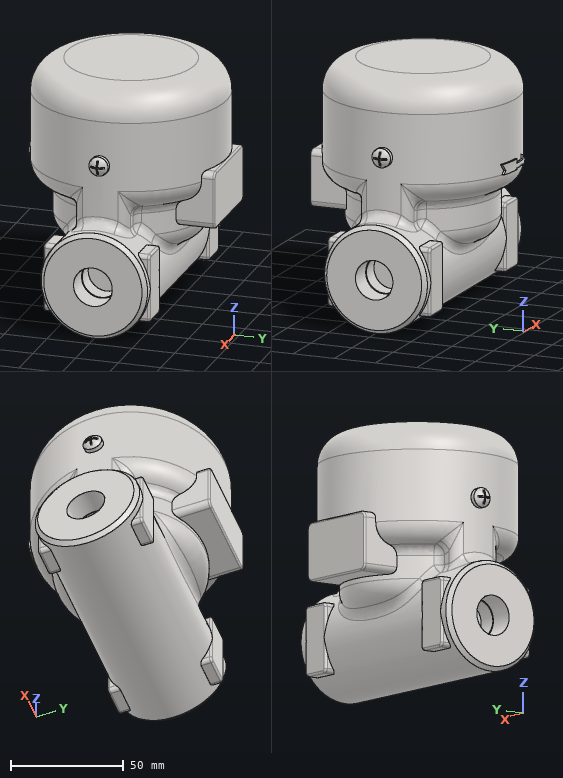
import cadquery as cq
import math

pipe_length = 110.0
pipe_diameter = 50.0
pipe_radius = pipe_diameter / 2
pipe_chamfer = 2.0
bore_diameter = 17.5
bore_depth = 20.0
socket_diameter = 18.2
socket_depth = 11.5

total_height = 115.0
cover_diameter = 90.0
cover_radius = cover_diameter / 2
cover_top_round = 15.0
cover_seat_z = 74.3
rim_bottom_z = 67.7
bowl_round = 10.0
bowl_radius = cover_radius - bowl_round
bowl_wall_bottom_z = 43.2

rib_width = 25.0
rib_edge_round = 5.1
joint_fillet = 4.8

flat_length = 15.1
flat_height = 32.0
flat_center_x = 42.5
flat_corner_round = 2.0
flat_face_round = 1.0

boss_width = 42.1
boss_bottom_z = 45.5
boss_top_z = 72.5
boss_face_y = 46.0
boss_root_y = 23.0
boss_corner_round = 3.0
boss_face_round = 0.8

arrow_radius = 46.0
arrow_center_z = 69.5
arrow_tail_x = -12.9
arrow_notch_x = -10.6
arrow_shaft_start_x = -0.6
arrow_head_x = 7.2
arrow_tip_x = 12.8
arrow_half_height = 3.2
arrow_shaft_half_height = 1.2

screw_diameter = 9.0
screw_z = 79.5
screw_root_x = 43.7
screw_dome_start_x = 47.0
screw_tip_x = 49.3
cross_length = 6.7
cross_width = 0.7
cross_depth = 1.0

tolerance = 0.001


def make_bowl():
    """Bowl with a rounded bottom edge, flaring out through a rounded rim to the cover width."""
    diagonal = bowl_round * math.sqrt(0.5)
    floor_radius = bowl_radius - bowl_round
    return (
        cq.Workplane("XZ")
        .moveTo(0, bowl_wall_bottom_z - bowl_round)
        .lineTo(floor_radius, bowl_wall_bottom_z - bowl_round)
        .threePointArc(
            (floor_radius + diagonal, bowl_wall_bottom_z - diagonal),
            (bowl_radius, bowl_wall_bottom_z),
        )
        .lineTo(bowl_radius, rim_bottom_z - bowl_round)
        .threePointArc(
            (bowl_radius + diagonal, rim_bottom_z - diagonal),
            (cover_radius, rim_bottom_z),
        )
        .lineTo(0, rim_bottom_z)
        .close()
        .revolve(360, (0, 0, 0), (0, 1, 0))
    )


def make_ribs():
    """Both ribs as one bar across the bowl, with ends that follow the cover cylinder."""
    rib_height = rim_bottom_z - pipe_radius
    start = cq.Workplane("XY", origin=(0, 0, pipe_radius))
    bar = start.rect(pipe_length, rib_width).extrude(rib_height)
    return bar.intersect(start.circle(cover_radius).extrude(rib_height)).edges("|Z").fillet(rib_edge_round)


def make_pipe():
    """Solid round bar with chamfered ends."""
    return (
        cq.Workplane("YZ", origin=(-pipe_length / 2, 0, pipe_radius))
        .circle(pipe_radius)
        .extrude(pipe_length)
        .faces("<X or >X")
        .chamfer(pipe_chamfer)
    )


def lies_on(point, shape):
    """True if the point is on the surface of the shape."""
    return shape.val().Shells()[0].distance(cq.Vertex.makeVertex(*point.toTuple())) < tolerance


def join_with_fillets(shapes):
    """Union of the shapes, filleted in the bend under the rim and wherever two shapes meet below it."""
    joined = shapes[0]
    for shape in shapes[1:]:
        joined = joined.union(shape)
    joints = []
    for edge in joined.edges().vals():
        middle = edge.positionAt(0.5)
        below_rim = edge.BoundingBox().zmin < rim_bottom_z - joint_fillet / 2
        in_bend = edge.geomType() == "CIRCLE" and abs(middle.z - (rim_bottom_z - bowl_round)) < tolerance
        is_seam = sum(lies_on(middle, shape) for shape in shapes) > 1
        if in_bend or (below_rim and is_seam):
            joints.append(edge)
    return joined.newObject(joints).fillet(joint_fillet)


def make_cover():
    """Cover cylinder with a large top round."""
    return (
        cq.Workplane("XY", origin=(0, 0, cover_seat_z))
        .circle(cover_radius)
        .extrude(total_height - cover_seat_z)
        .faces(">Z")
        .edges()
        .fillet(cover_top_round)
    )


def make_rim(radius):
    """Straight round band between the heights of the bowl top and the cover seat."""
    return cq.Workplane("XY", origin=(0, 0, rim_bottom_z)).circle(radius).extrude(cover_seat_z - rim_bottom_z)


def make_wrench_flats(center_x):
    """Block through the pipe whose two faces touch the pipe sides."""
    return (
        cq.Workplane("XY")
        .box(flat_length, pipe_diameter, flat_height)
        .edges("|Y")
        .fillet(flat_corner_round)
        .faces("<Y or >Y")
        .edges()
        .fillet(flat_face_round)
        .translate((center_x, 0, pipe_radius))
    )


def make_boss():
    """Flat-faced block on the back of the bowl."""
    boss_height = boss_top_z - boss_bottom_z
    return (
        cq.Workplane("XZ", origin=(0, boss_face_y, boss_bottom_z + boss_height / 2))
        .rect(boss_width, boss_height)
        .extrude(boss_face_y - boss_root_y)
        .edges("|Y")
        .fillet(boss_corner_round)
        .faces(">Y")
        .edges()
        .fillet(boss_face_round)
    )


def make_arrow():
    """Flow arrow with a curved face, cut off at the lower end of the straight rim."""
    upper_half = [
        (arrow_tail_x, arrow_half_height),
        (arrow_shaft_start_x, arrow_half_height),
        (arrow_shaft_start_x, arrow_shaft_half_height),
        (arrow_head_x, arrow_shaft_half_height),
        (arrow_head_x, arrow_half_height),
    ]
    lower_half = [(x, -z) for x, z in reversed(upper_half)]
    outline = [(arrow_notch_x, 0)] + upper_half + [(arrow_tip_x, 0)] + lower_half
    plane = cq.Workplane("XZ", origin=(0, 0, arrow_center_z))
    arrow = plane.polyline(outline).close().extrude(cover_diameter)
    bowl_core = cq.Workplane("XY").circle(bowl_radius).extrude(total_height)
    return arrow.intersect(make_rim(arrow_radius)).cut(bowl_core)


def make_bore(turn):
    """Blind bore with a slightly wider socket at its mouth, turned about Z to either pipe end."""
    mouth = cq.Workplane("YZ", origin=(-pipe_length / 2, 0, pipe_radius))
    socket = mouth.circle(socket_diameter / 2).extrude(socket_depth)
    bore = mouth.circle(bore_diameter / 2).extrude(bore_depth)
    return socket.union(bore).rotate((0, 0, 0), (0, 0, 1), turn)


def make_housing():
    """Pipe, ribs, bowl and cover in one casting with its flats, boss, arrow and bores."""
    housing = join_with_fillets([make_bowl(), make_ribs(), make_pipe()])
    housing = housing.union(make_rim(cover_radius)).union(make_cover())
    housing = housing.union(make_boss()).union(make_arrow())
    for side in (-1, 1):
        housing = housing.union(make_wrench_flats(side * flat_center_x))
    for turn in (0, 180):
        housing = housing.cut(make_bore(turn))
    return housing


def make_screw(turn):
    """Domed screw head with a cross slot, seated on the cover and turned about Z."""
    screw_radius = screw_diameter / 2
    dome_height = screw_tip_x - screw_dome_start_x
    dome_radius = (screw_radius**2 + dome_height**2) / (2 * dome_height)
    half_angle = math.asin(screw_radius / dome_radius) / 2
    dome_middle = (
        screw_tip_x - dome_radius * (1 - math.cos(half_angle)),
        dome_radius * math.sin(half_angle),
    )
    head = (
        cq.Workplane("XZ", origin=(0, 0, screw_z))
        .moveTo(screw_root_x, 0)
        .lineTo(screw_root_x, screw_radius)
        .lineTo(screw_dome_start_x, screw_radius)
        .threePointArc(dome_middle, (screw_tip_x, 0))
        .close()
        .revolve(360, (0, 0, 0), (1, 0, 0))
    )
    slot_plane = cq.Workplane("YZ", origin=(screw_tip_x - cross_depth, 0, screw_z))
    for width, height in ((cross_length, cross_width), (cross_width, cross_length)):
        head = head.cut(slot_plane.rect(width, height).extrude(cross_depth))
    cover_core = cq.Workplane("XY").circle(cover_radius).extrude(total_height)
    return head.cut(cover_core).rotate((0, 0, 0), (0, 0, 1), turn)


housing = make_housing()
screws = [make_screw(turn) for turn in (0, 180)]

result = cq.Compound.makeCompound([housing.val(), *[screw.val() for screw in screws]])